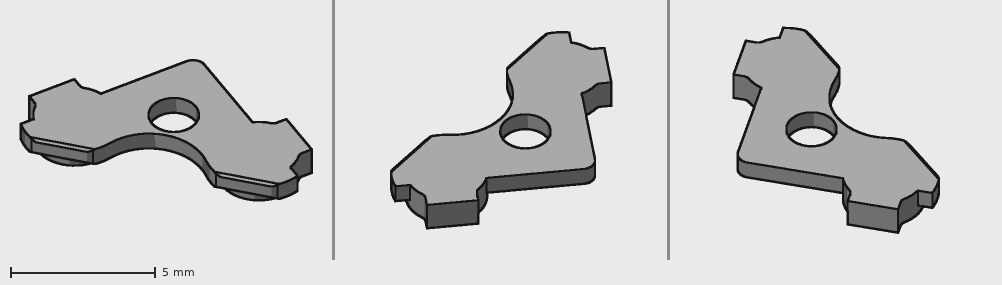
import cadquery as cq
import math

plate_thickness = 0.7
boss_drop = 0.4
edge_offset = 2.2
corner_radius = 0.45
hole_diameter = 1.75

boss_x = 3.0
boss_y = 1.7
boss_radius = 1.425
tab_width = 1.8
tab_end = 3.3
tab_fillet = 0.25

arm_radius = 1.92
flat_distance = 1.625
flat_chamfer = 0.1
bay_radius = 2.1

total_height = plate_thickness + boss_drop
flat_half_length = math.sqrt(arm_radius**2 - flat_distance**2)
flat_half_angle = math.degrees(math.atan2(flat_half_length, flat_distance))
flat_direction = -45.0

half_difference = (boss_x - boss_y) / 2
half_sum = (boss_x + boss_y) / 2
bay_center = half_difference + math.sqrt((bay_radius + arm_radius) ** 2 / 2 - half_sum**2)
bay_direction = math.degrees(math.atan2(-bay_center - boss_y, bay_center - boss_x))


def arm_point(angle):
    """Point on the upper right arm end at an angle in degrees from +X."""
    turn = math.radians(angle)
    return (boss_x + arm_radius * math.cos(turn), boss_y + arm_radius * math.sin(turn))


def mirrored(point):
    """Reflect a point in the diagonal y = -x."""
    return (-point[1], -point[0])


def make_plate():
    """L-shaped plate with rounded arm ends, 45 degree flats and a concave bay."""
    edge_angle = math.degrees(math.asin((edge_offset - boss_y) / arm_radius))
    flat_start_angle = flat_direction + flat_half_angle
    flat_end_angle = flat_direction - flat_half_angle

    edge_end = arm_point(edge_angle)
    side_mid = arm_point((edge_angle + flat_start_angle) / 2)
    flat_start = arm_point(flat_start_angle)
    flat_end = arm_point(flat_end_angle)
    inner_mid = arm_point((flat_end_angle + bay_direction) / 2)
    bay_start = arm_point(bay_direction)
    bay_reach = bay_center - bay_radius / math.sqrt(2)

    plate = (
        cq.Workplane("XY", origin=(0, 0, boss_drop))
        .moveTo(-edge_offset, edge_offset)
        .lineTo(*edge_end)
        .threePointArc(side_mid, flat_start)
        .lineTo(*flat_end)
        .threePointArc(inner_mid, bay_start)
        .threePointArc((bay_reach, -bay_reach), mirrored(bay_start))
        .threePointArc(mirrored(inner_mid), mirrored(flat_end))
        .lineTo(*mirrored(flat_start))
        .threePointArc(mirrored(side_mid), mirrored(edge_end))
        .close()
        .extrude(plate_thickness)
    )
    outer_corner = (-edge_offset, edge_offset, boss_drop + plate_thickness / 2)
    corner_selector = cq.selectors.NearestToPointSelector(outer_corner)
    plate = plate.edges("|Z").edges(corner_selector).fillet(corner_radius)

    flat_normal = cq.Vector(1, -1, 0)
    flats = plate.faces("%PLANE").faces(cq.selectors.ParallelDirSelector(flat_normal))
    return flats.edges().chamfer(flat_chamfer)


def make_boss():
    """Upper right boss: a full-height disc with a filleted tab toward +Y."""
    disc = cq.Workplane("XY").center(boss_x, boss_y).circle(boss_radius).extrude(total_height)
    tab_length = tab_end - boss_y
    tab = (
        cq.Workplane("XY")
        .center(boss_x, boss_y + tab_length / 2)
        .rect(tab_width, tab_length)
        .extrude(total_height)
    )
    root_y = boss_y + math.sqrt(boss_radius**2 - (tab_width / 2) ** 2)
    boss = disc.union(tab)
    for side in (-1, 1):
        root = (boss_x + side * tab_width / 2, root_y, total_height / 2)
        root_selector = cq.selectors.NearestToPointSelector(root)
        boss = boss.edges("|Z").edges(root_selector).fillet(tab_fillet)
    return boss


def mirror_across_diagonal(body):
    """Reflect a body in the vertical plane y = -x."""
    quarter_turn = 90
    return body.mirror("YZ").rotate((0, 0, 0), (0, 0, 1), quarter_turn)


boss = make_boss()
hole = cq.Workplane("XY").circle(hole_diameter / 2).extrude(total_height)
result = make_plate().union(boss).union(mirror_across_diagonal(boss)).cut(hole)